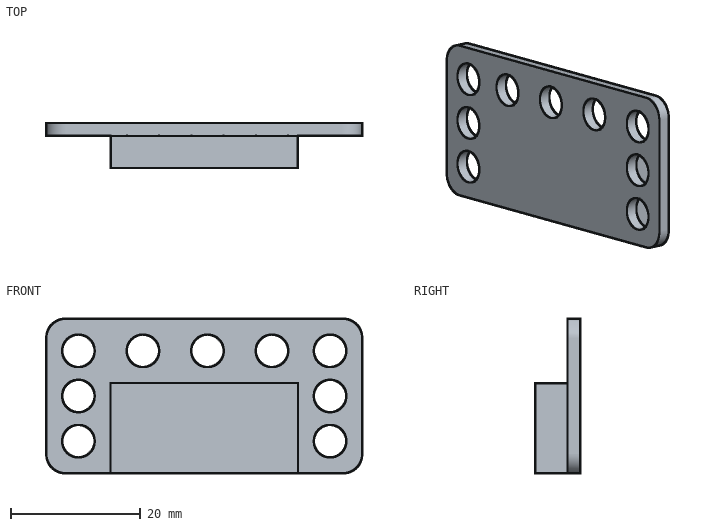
import cadquery as cq

plate_width = 49.0
plate_height = 24.0
plate_thickness = 2.0
corner_radius = 3.0

block_side_margin = 10.0
block_top_margin = 10.0
block_depth = 5.0
block_width = plate_width - 2 * block_side_margin
block_height = plate_height - block_top_margin

hole_diameter = 5.0
hole_edge_distance = 5.0
top_row_pitch = 10.0
top_row_pitched_count = 4

left_column_x = hole_edge_distance
right_column_x = plate_width - hole_edge_distance
top_row_z = plate_height - hole_edge_distance
bottom_row_z = hole_edge_distance
middle_row_z = plate_height / 2


def hole_positions():
    """Return the (x, z) hole centers, measured from the lower left plate corner."""
    top_row = [(left_column_x + i * top_row_pitch, top_row_z) for i in range(top_row_pitched_count)]
    top_row.append((right_column_x, top_row_z))
    side_columns = [
        (x, z)
        for x in (left_column_x, right_column_x)
        for z in (middle_row_z, bottom_row_z)
    ]
    return top_row + side_columns


def make_plate():
    """Rounded plate with its front face at Y = 0."""
    plate = cq.Workplane("XY").box(plate_width, plate_thickness, plate_height, centered=False)
    return plate.edges("|Y").fillet(corner_radius)


def make_block():
    """Solid block projecting forward (-Y) from the plate."""
    block = cq.Workplane("XY").box(block_width, block_depth, block_height, centered=False)
    return block.translate((block_side_margin, -block_depth, 0))


def make_holes():
    """Cylinders that pass through the plate thickness."""
    return (
        cq.Workplane("XZ")
        .pushPoints(hole_positions())
        .circle(hole_diameter / 2)
        .extrude(-plate_thickness)
    )


result = make_plate().cut(make_holes()).union(make_block())